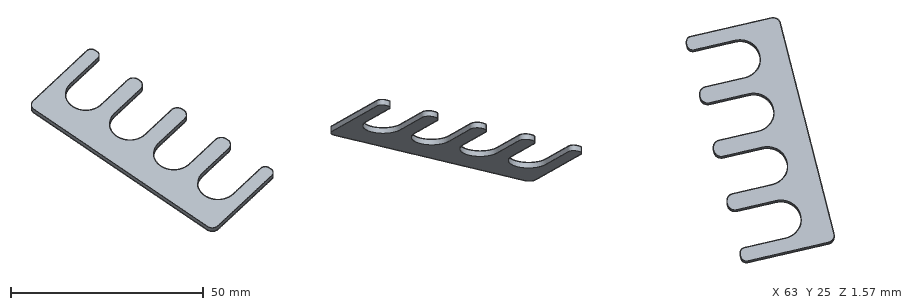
import cadquery as cq

length = 63.0
width = 25.0
thickness = 1.57
base_corner_radius = 2.0

slot_count = 4
slot_pitch = 15.0
slot_width = 10.5
slot_radius = slot_width / 2
slot_centre_y = width / 2

inner_finger_width = slot_pitch - slot_width
outer_finger_width = (length - slot_count * slot_width - (slot_count - 1) * inner_finger_width) / 2
inner_tip_radius = 2.0
outer_tip_radius = 1.5


def slot_centre_x(index):
    return outer_finger_width + slot_radius + index * slot_pitch


def make_plate():
    plate = cq.Workplane("XY").box(length, width, thickness, centered=False)
    return plate.edges("|Z and <Y").fillet(base_corner_radius)


def make_slot(centre_x):
    left = centre_x - slot_radius
    right = centre_x + slot_radius
    return (
        cq.Workplane("XY")
        .moveTo(left, width)
        .lineTo(left, slot_centre_y)
        .threePointArc((centre_x, slot_centre_y - slot_radius), (right, slot_centre_y))
        .lineTo(right, width)
        .close()
        .extrude(thickness)
    )


def is_on_inner_finger(edge):
    first_inner_x = slot_centre_x(0)
    last_inner_x = slot_centre_x(slot_count - 1)
    return first_inner_x < edge.Center().x < last_inner_x


def is_on_outer_finger(edge):
    return not is_on_inner_finger(edge)


def round_finger_tips(body):
    body = body.edges("|Z and >Y").filter(is_on_inner_finger).fillet(inner_tip_radius)
    return body.edges("|Z and >Y").filter(is_on_outer_finger).fillet(outer_tip_radius)


body = make_plate()
for slot_index in range(slot_count):
    body = body.cut(make_slot(slot_centre_x(slot_index)))

result = round_finger_tips(body)